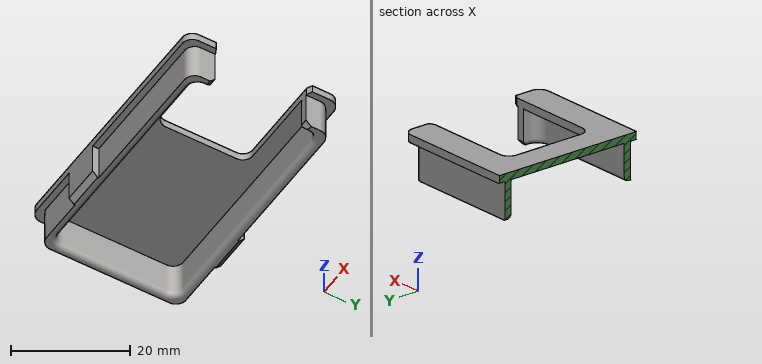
import cadquery as cq

plate_length = 50.0
plate_width = 30.0
plate_thickness = 1.5
corner_radius = 2.0

slot_depth = 20.0
slot_width = 18.0
mouth_depth = 1.0
mouth_flare = 0.5

skirt_height = 7.0
skirt_overhang = 1.2
wall_thickness = 1.5
rim_radius = 1.0
gap_bevel = 1.0
skirt_length = plate_length - 2 * skirt_overhang
skirt_width = plate_width - 2 * skirt_overhang
cavity_length = skirt_length - 2 * wall_thickness
cavity_width = skirt_width - 2 * wall_thickness

tab_length = 7.5
tab_offset = 12.2
tab_bevel = 1.0
tab_root_depth = 0.4


def rounded_block(length, width, height):
    """Block standing on Z = 0 with rounded vertical corners."""
    block = cq.Workplane("XY").rect(length, width).extrude(height)
    return block.edges("|Z").fillet(corner_radius)


def make_slot():
    """Cutter for the plate slot: rounded at the closed end, flared at the open end."""
    open_end = plate_length / 2
    half_slot = slot_width / 2
    half_mouth = half_slot + mouth_flare
    outline = [
        (open_end - slot_depth, -half_slot),
        (open_end - mouth_depth, -half_slot),
        (open_end, -half_mouth),
        (open_end, half_mouth),
        (open_end - mouth_depth, half_slot),
        (open_end - slot_depth, half_slot),
    ]
    slot = cq.Workplane("XY").polyline(outline).close().extrude(plate_thickness)
    return slot.edges("|Z and <X").fillet(corner_radius)


def make_plate():
    """Rounded plate with the open slot, standing on top of the skirt."""
    plate = rounded_block(plate_length, plate_width, plate_thickness).cut(make_slot())
    return plate.translate((0, 0, skirt_height))


def make_gap():
    """Cutter for the gap in the +X wall, flared at 45 degrees along the bottom."""
    half_gap = slot_width / 2
    half_flare = half_gap + gap_bevel
    outline = [
        (-half_flare, 0),
        (half_flare, 0),
        (half_gap, gap_bevel),
        (half_gap, skirt_height),
        (-half_gap, skirt_height),
        (-half_gap, gap_bevel),
    ]
    gap = cq.Workplane("YZ").polyline(outline).close().extrude(2 * wall_thickness)
    return gap.translate((cavity_length / 2 - wall_thickness, 0, 0))


def make_skirt():
    """Hollow rounded frame with a rounded inner bottom rim and a gap in its +X wall."""
    cavity = rounded_block(cavity_length, cavity_width, skirt_height)
    frame = rounded_block(skirt_length, skirt_width, skirt_height).cut(cavity)
    margin = wall_thickness / 2
    rim_zone = cq.selectors.BoxSelector(
        (-cavity_length / 2 - margin, -cavity_width / 2 - margin, -margin),
        (cavity_length / 2 + margin, cavity_width / 2 + margin, margin),
        boundingbox=True,
    )
    rim = frame.faces("<Z").edges(rim_zone)
    return rim.fillet(rim_radius).cut(make_gap())


def make_tab():
    """Tab on the -Y side, rooted inside the skirt wall."""
    root = -skirt_width / 2 + tab_root_depth
    tip = -plate_width / 2
    outline = [
        (root, 0),
        (tip + tab_bevel, 0),
        (tip, tab_bevel),
        (tip, skirt_height),
        (root, skirt_height),
    ]
    tab = cq.Workplane("YZ").polyline(outline).close().extrude(tab_length)
    return tab.translate((tab_offset - plate_length / 2, 0, 0))


tab = make_tab()
skirt = make_skirt().union(tab).union(tab.mirror("XZ"))
result = make_plate().union(skirt, clean=False)